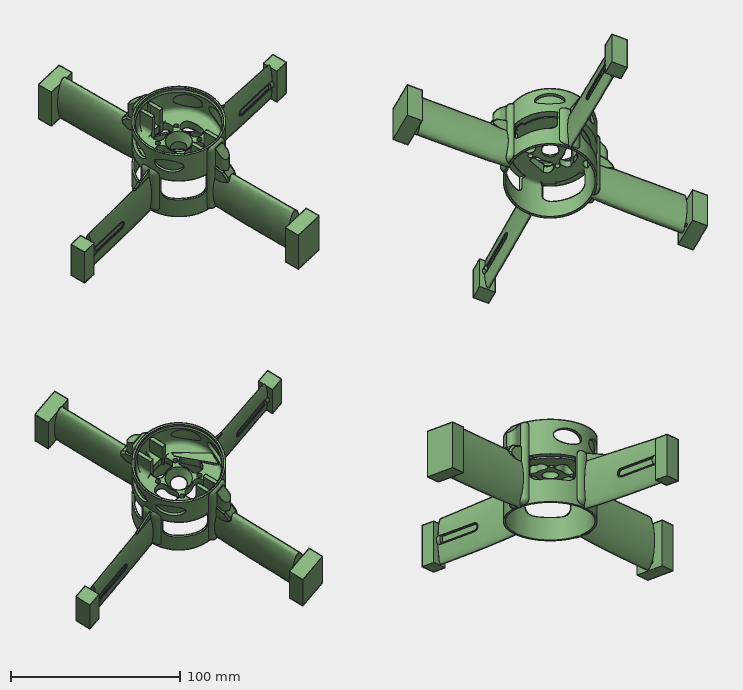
import cadquery as cq
length_x = 195.8
length_y = 193.8
top_z = 55.5

hub_radius = 27.8
hub_bottom_z = 1.8
bore_radius = 51.3 / 2
rim_radius = 53.0 / 2
rim_depth = 1.8
rim_seat_depth = 3.0
skirt_radius = rim_radius
ceiling_z = 31.7
ceiling_fillet = 2.3
floor_z = 37.5
floor_fillet = 2.7

window_width = 27.0
window_bottom_z = 16.5
window_top_z = 32.9
window_corner = 5.0
window_inner_radius = 20.5
window_outer_radius = 33.3

port_width = 18.0
port_height = 10.0
port_z = 45.5
port_angle = 25.5
port_film = 0.4
open_port_angle = 270 - port_angle

centre_hole_diameter = 10.0
countersink_diameter = 16.0
screw_hole_diameter = 3.0
screw_spacing = 17.6
opening_length = 14.9
opening_inner_radius = 8.8
opening_outer_radius = 17.0
opening_corner = 3.5
drain_radius = 2.7
drain_offset = 24.3

plate_thickness = 2.3
plate_top_z = 51.5
plate_foot = 3.0
wall_overlap = 0.2
right_plate_inner_y = 5.0
right_plate_start = 15.0
left_plate_inner_y = 2.5
left_plate_start = 16.0

ramp_angle = 27.0
ramp_rise = 3.0
ramp_foot = 8.8
ramp_footprint = [(-14.3, -21.0), (11.0, -11.0), (13.9, -12.0), (-6.5, -24.9)]

post_root = 17.6
x_post_width = 14.0
x_post_reach = 30.3
x_post_fillet = 3.1
y_post_width = 14.9
y_post_reach = 29.4
y_post_fillet = 5.0
y_post_top_z = 39.5

arm_root = 24.5
arm_steps = 6
arm_root_bottom_z = 1.5
arm_underside_power = 3
arm_end = 86.7
x_arm_thickness = 11.0
x_arm_root_top_z = 34.9
x_arm_end_top_z = 34.9
y_arm_thickness = 4.9
y_arm_root_top_z = 32.5
y_arm_end_top_z = 30.0
block_length_x = 9.8
block_width_x = 20.0
block_height_x = 29.8
block_offset_x = -0.3
block_length_y = 9.2
block_width_y = 10.2
block_height_y = 27.0
pin_diameter = 2.0
pin_embed = 2.0
x_pin_places = [(2.0, 8.2), (-2.0, 4.9)]
y_pin_places = [(0.0, 20.4), (0.0, 6.7)]

groove_z = 14.9
groove_start = 55.5
groove_width = 5.7
groove_depth = 0.4
groove_step = 0.8
collar_diameter = 7.6
collar_start = 84.0

hood_width = 6.9
hood_edge_fillet = 3.3
hood_profile = [(26.5, 54.0), (30.2, 54.0), (37.0, 47.0), (37.0, 35.2), (26.5, 35.2)]
cuff_width = 8.5
cuff_profile = [(26.5, 39.7), (31.3, 39.5), (36.5, 38.0), (39.5, 34.7), (40.3, 32.5),
                (39.7, 30.2), (35.2, 27.8), (26.5, 27.8)]
cuff_chamfer = 1.2
rib_thickness = 1.2
rib_profile = [(26.5, 37.5), (28.8, 37.2), (43.0, 32.0), (43.0, 27.5), (26.5, 27.5)]


def cylinder(radius, bottom, top):
    return cq.Workplane("XY").workplane(offset=bottom).circle(radius).extrude(top - bottom)


def cone(bottom_radius, top_radius, bottom, top):
    solid = cq.Solid.makeCone(bottom_radius, top_radius, top - bottom, pnt=cq.Vector(0, 0, bottom))
    return cq.Workplane(solid)


def turned(shape, angle):
    return shape.rotate((0, 0, 0), (0, 0, 1), angle)


def box_between(x0, x1, y0, y1, z0, z1):
    return cq.Workplane("XY").box(x1 - x0, y1 - y0, z1 - z0, centered=False).translate((x0, y0, z0))


def upright(profile, width):
    """Outline in the XZ plane, thickened evenly about it."""
    return cq.Workplane("XZ").polyline(profile).close().extrude(width / 2, both=True)


def post(reach, width, top, fillet):
    """Post along the hub wall, rounded on every exposed edge, built on the +X side."""
    body = box_between(post_root, reach, -width / 2, width / 2, hub_bottom_z, top)
    return body.edges("|X or >X").fillet(fillet)


def arm(thickness, root_top, end_top):
    """Oval arm along +X whose underside sinks smoothly to Z = 0 away from the hub."""
    wires = []
    for step in range(arm_steps + 1):
        along = step / arm_steps
        x = arm_root + along * (arm_end - arm_root)
        low = arm_root_bottom_z * (1 - along) ** arm_underside_power
        high = root_top + along * (end_top - root_top)
        section = (
            cq.Workplane("YZ").workplane(offset=x).center(0, (low + high) / 2)
            .ellipse(thickness / 2, (high - low) / 2)
        )
        wires.append(section.wires().val())
    return cq.Workplane(cq.Solid.makeLoft(wires))


def tip(reach, block_length, width, height, offset, pin_places):
    """Block at an arm tip and the pins that carry it, on the +X side."""
    block_start = reach - block_length
    block = box_between(block_start, reach, offset - width / 2, offset + width / 2, 0, height)
    pins = (
        cq.Workplane("YZ").workplane(offset=arm_end - pin_embed).pushPoints(pin_places)
        .circle(pin_diameter / 2).extrude(block_start - arm_end + 2 * pin_embed)
    )
    return block.union(pins)


def hood():
    """Sloping hood over the X post and the cuff below it, on the +X side."""
    cover = upright(hood_profile, hood_width)
    cover = cover.faces(">X").edges("|Z").fillet(hood_edge_fillet)
    cuff = upright(cuff_profile, cuff_width).faces("<Y or >Y").edges().chamfer(cuff_chamfer)
    return cover.union(cuff)


def groove(width, depth):
    """Round-ended groove in both sides of a Y arm, built along +X."""
    start = groove_start + groove_width / 2 - width / 2
    slot_length = collar_start - start + width
    slot = (
        cq.Workplane("XZ").center(start + slot_length / 2, groove_z)
        .slot2D(slot_length, width).extrude(y_arm_thickness, both=True)
    )
    core = box_between(0, arm_end, depth - y_arm_thickness / 2, y_arm_thickness / 2 - depth, 0, top_z)
    return slot.cut(core)


def x_side():
    body = arm(x_arm_thickness, x_arm_root_top_z, x_arm_end_top_z)
    body = body.union(post(x_post_reach, x_post_width, top_z, x_post_fillet))
    body = body.union(hood())
    reach = length_x / 2
    return body.union(
        tip(reach, block_length_x, block_width_x, block_height_x, block_offset_x, x_pin_places))


def y_side():
    body = arm(y_arm_thickness, y_arm_root_top_z, y_arm_end_top_z)
    body = body.cut(groove(groove_width, groove_depth))
    body = body.cut(groove(groove_width - 2 * groove_step, 2 * groove_depth))
    collar = (
        cq.Workplane("YZ").workplane(offset=collar_start).center(0, groove_z)
        .circle(collar_diameter / 2).extrude(arm_end - collar_start)
    )
    body = body.union(collar)
    body = body.union(post(y_post_reach, y_post_width, y_post_top_z, y_post_fillet))
    body = body.union(upright(rib_profile, rib_thickness))
    reach = length_y / 2
    return body.union(tip(reach, block_length_y, block_width_y, block_height_y, 0, y_pin_places))


def window():
    """Window through the lower hub wall on the +X side, round at its lower corners."""
    shape = box_between(window_inner_radius, window_outer_radius, -window_width / 2, window_width / 2,
                        window_bottom_z, window_top_z)
    shape = shape.faces("<Z").edges("|X").fillet(window_corner)
    return shape.cut(cylinder(skirt_radius - ceiling_fillet, ceiling_z, floor_z))


def opening():
    """Rounded opening through the floor on the +X side."""
    ring = cylinder(opening_outer_radius, ceiling_z, floor_z)
    ring = ring.cut(cylinder(opening_inner_radius, ceiling_z, floor_z))
    band = box_between(0, opening_outer_radius, -opening_length / 2, opening_length / 2, ceiling_z, floor_z)
    return ring.intersect(band).edges("|Z").fillet(opening_corner)


def plate_pair(inner_y, start):
    """Pair of upright plates on the +X side, each with a rounded foot on its outer side."""
    outer_y = inner_y + plate_thickness
    foot_y = outer_y + plate_foot
    foot_z = floor_z + plate_foot
    one = (
        cq.Workplane("YZ").workplane(offset=start)
        .moveTo(inner_y, ceiling_z).lineTo(foot_y, ceiling_z).lineTo(foot_y, floor_z)
        .radiusArc((outer_y, foot_z), plate_foot)
        .lineTo(outer_y, plate_top_z).lineTo(inner_y, plate_top_z).close()
        .extrude(bore_radius - start)
    )
    return one.union(one.mirror("XZ"))


def ramp():
    """Wedge that climbs from the floor to the lower edge of the one open port."""
    footprint = (
        cq.Workplane("XY").workplane(offset=ceiling_z).polyline(ramp_footprint).close()
        .extrude(top_z - ceiling_z)
    )
    slope = upright([(-hub_radius, ceiling_z), (hub_radius, ceiling_z), (ramp_foot, floor_z),
                     (-hub_radius, floor_z + ramp_rise)], 4 * hub_radius)
    return footprint.intersect(turned(slope, ramp_angle))


def port(start):
    """Oval port in the upper wall on the +X side, cut from a given radius outward."""
    shape = (
        cq.Workplane("YZ").workplane(offset=bore_radius / 2).center(0, port_z)
        .ellipse(port_width / 2, port_height / 2).extrude(bore_radius)
    )
    return shape.cut(cylinder(start, ceiling_z, top_z))


result = cylinder(hub_radius, hub_bottom_z, top_z)
for angle in (0, 180):
    result = result.union(turned(x_side(), angle))
for angle in (90, 270):
    result = result.union(turned(y_side(), angle))

upper_bore = cylinder(bore_radius, floor_z, top_z).faces("<Z").edges().fillet(floor_fillet)
lower_bore = cylinder(skirt_radius, 0, ceiling_z).faces(">Z").edges().fillet(ceiling_fillet)
result = result.cut(upper_bore).cut(lower_bore)
result = result.cut(cylinder(rim_radius, top_z - rim_depth, top_z))
rim_seat = cone(bore_radius, rim_radius, top_z - rim_seat_depth, top_z - rim_depth)
result = result.cut(rim_seat)
for angle in (45, 135, 225, 315):
    result = result.cut(turned(window(), angle))
for angle in (90 - port_angle, 90 + port_angle, 270 + port_angle):
    result = result.cut(turned(port(bore_radius + port_film), angle))
result = result.cut(turned(port(bore_radius - floor_fillet), open_port_angle))

for angle in (0, 90, 180, 270):
    result = result.cut(turned(opening(), angle))
inside = cylinder(bore_radius + wall_overlap, ceiling_z, top_z)
fittings = plate_pair(right_plate_inner_y, right_plate_start)
fittings = fittings.union(turned(plate_pair(left_plate_inner_y, left_plate_start), 180))
fittings = fittings.union(ramp())
result = result.union(fittings.intersect(inside))

countersink = cone(centre_hole_diameter / 2, countersink_diameter / 2, ceiling_z, floor_z)
result = result.cut(countersink)
result = result.cut(
    cq.Workplane("XY").workplane(offset=ceiling_z)
    .rect(screw_spacing, screw_spacing, forConstruction=True).vertices()
    .circle(screw_hole_diameter / 2).extrude(floor_z - ceiling_z)
)
drains = (
    cq.Workplane("XY").pushPoints([(-drain_offset, 0), (drain_offset, 0)])
    .circle(drain_radius).extrude(plate_top_z)
)
result = result.cut(drains.intersect(cylinder(bore_radius, 0, plate_top_z)))